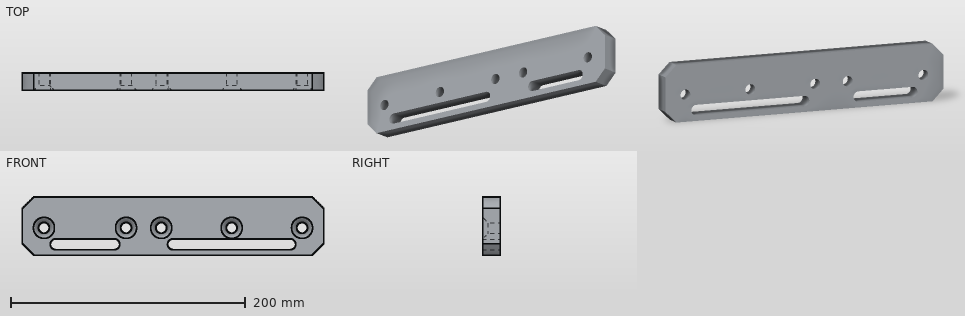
import cadquery as cq

length = 257.0
thickness = 15.0
height = 50.0
corner_chamfer = 10.0

hole_diameter = 9.0
countersink_diameter = 18.0
countersink_angle = 90.0
hole_z = 23.5
hole_x_positions = [-110.0, -40.0, -10.0, 50.0, 110.0]

slot_width = 9.0
slot_z = 9.5
slot_end_centres = [(-100.0, -50.0), (0.0, 100.0)]


def make_plate():
    """Flat bar with all four corners cut at 45 degrees."""
    bar = cq.Workplane("XY").box(length, thickness, height, centered=(True, False, False))
    return bar.edges("|Y").chamfer(corner_chamfer)


def front_plane():
    """Workplane on the front face, with local x along X and local y along Z."""
    return cq.Workplane("XZ")


def cut_countersunk_holes(plate):
    centres = [(x, hole_z) for x in hole_x_positions]
    return (
        plate.copyWorkplane(front_plane())
        .pushPoints(centres)
        .cskHole(hole_diameter, countersink_diameter, countersink_angle)
    )


def cut_slot(plate, first_x, last_x):
    middle_x = (first_x + last_x) / 2
    overall_length = last_x - first_x + slot_width
    slot = front_plane().center(middle_x, slot_z).slot2D(overall_length, slot_width).extrude(-thickness)
    return plate.cut(slot)


result = cut_countersunk_holes(make_plate())
for first_x, last_x in slot_end_centres:
    result = cut_slot(result, first_x, last_x)